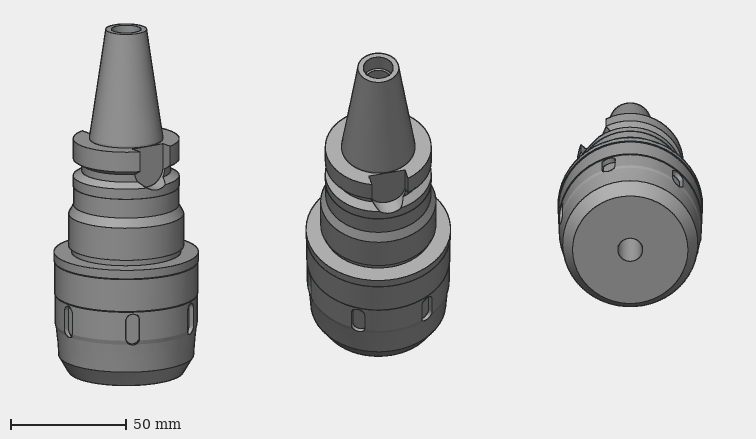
import cadquery as cq

length = 153.4

taper_small_radius = 8.9
taper_large_radius = 16.0
gauge_z = 105.1

flange_radius = 23.0
flange_top_z = 104.3
flange_bottom_z = 95.4
groove_radius = 19.3
groove_top_z = 93.3
groove_bottom_z = 89.9
collar_top_z = 87.7
collar_line_z = 83.1
collar_bottom_z = 74.7
collar_step = 0.2

body_radius = 25.0
body_top_z = 70.7
body_bottom_z = 56.3
neck_radius = 23.8

nut_diameter = 62.7
nut_radius = nut_diameter / 2
nut_top_z = 53.5
ring_bottom_z = 49.7
ring_step = 0.3
step_height = 0.5
band_bottom_z = 35.0
grip_radius = 30.8
grip_bottom_z = 21.6
relief_radius = 30.4
relief_z = 19.8
nose_radius = 29.3
nose_z = 7.2
bottom_radius = 25.0

key_width = 16.1
key_floor_x = 16.3
key_bottom_z = 86.2

spanner_count = 6
spanner_width = 6.0
spanner_height = 14.0
spanner_center_z = 26.7
spanner_floor_radius = 28.5

cut_clearance = 1.5

bore_radius = 5.4
mouth_radius = 6.5
mouth_depth = 7.0


def turned_body():
    """Revolve the outer profile, listed from the top down."""
    collar_radius = flange_radius - collar_step
    band_radius = nut_radius - ring_step
    profile = (
        cq.Workplane("YZ")
        .moveTo(0, length)
        .lineTo(taper_small_radius, length)
        .lineTo(taper_large_radius, gauge_z)
        .lineTo(taper_large_radius, flange_top_z)
        .lineTo(flange_radius, flange_top_z)
        .lineTo(flange_radius, flange_bottom_z)
        .lineTo(groove_radius, groove_top_z)
        .lineTo(groove_radius, groove_bottom_z)
        .lineTo(flange_radius, collar_top_z)
        .lineTo(flange_radius, collar_line_z)
        .lineTo(collar_radius, collar_line_z)
        .lineTo(collar_radius, collar_bottom_z)
        .lineTo(body_radius, body_top_z)
        .lineTo(body_radius, body_bottom_z)
        .lineTo(neck_radius, body_bottom_z)
        .lineTo(neck_radius, nut_top_z)
        .lineTo(nut_radius, nut_top_z)
        .lineTo(nut_radius, ring_bottom_z)
        .lineTo(band_radius, ring_bottom_z - step_height)
        .lineTo(band_radius, band_bottom_z)
        .lineTo(grip_radius, band_bottom_z - step_height)
        .lineTo(grip_radius, grip_bottom_z)
        .lineTo(relief_radius, relief_z)
        .lineTo(nose_radius, nose_z)
        .lineTo(bottom_radius, 0)
        .lineTo(0, 0)
        .close()
    )
    return profile.revolve(360, (0, 0, 0), (0, 1, 0))


def key_slot(side):
    """Round-bottomed slot, open upward and outward; side is +1 or -1 along X."""
    half_width = key_width / 2
    arc_center_z = key_bottom_z + half_width
    return (
        cq.Workplane("YZ", origin=(side * key_floor_x, 0, 0))
        .moveTo(-half_width, flange_top_z)
        .lineTo(-half_width, arc_center_z)
        .threePointArc((0, key_bottom_z), (half_width, arc_center_z))
        .lineTo(half_width, flange_top_z)
        .close()
        .extrude(side * (flange_radius - key_floor_x + cut_clearance))
    )


def spanner_slot(angle):
    """Upright flat-floored slot cut radially inward, turned about Z from the -Y side."""
    return (
        cq.Workplane("XZ", origin=(0, -spanner_floor_radius, spanner_center_z))
        .slot2D(spanner_height, spanner_width, 90)
        .extrude(nut_radius - spanner_floor_radius + cut_clearance)
        .rotate((0, 0, 0), (0, 0, 1), angle)
    )


result = turned_body()
for side in (-1, 1):
    result = result.cut(key_slot(side))
for index in range(spanner_count):
    result = result.cut(spanner_slot(index * 360 / spanner_count))

bore = cq.Workplane("XY").circle(bore_radius).extrude(length)
mouth = cq.Workplane("XY", origin=(0, 0, length - mouth_depth)).circle(mouth_radius).extrude(mouth_depth)
result = result.cut(bore).cut(mouth)